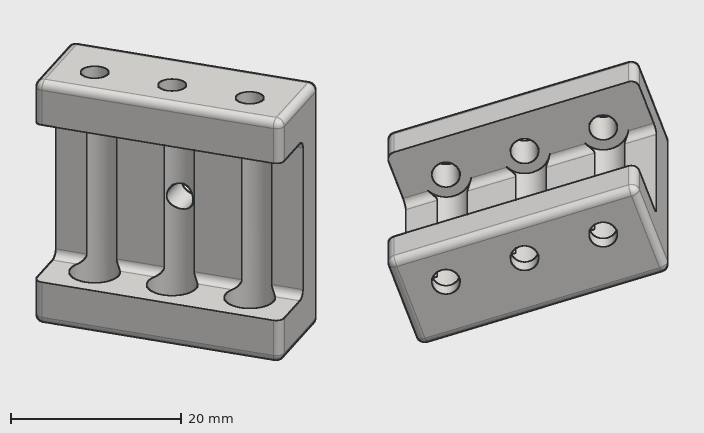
import cadquery as cq

width = 31.15
depth = 12.2
height = 31.5
edge_radius = 1.0

flange_thickness = 5.55
web_thickness = 5.0
channel_corner_radius = 1.0

hole_diameter = 3.3
bore_diameter = 6.0
bore_spacing = 9.75
bore_axis_from_web = 2.33
bore_depth_in_flange = 3.5

channel_height = height - 2 * flange_thickness
channel_depth = depth - web_thickness
web_face_y = depth / 2 - web_thickness
bore_axis_y = web_face_y - bore_axis_from_web


def rounded_block():
    return cq.Workplane("XY").box(width, depth, height).edges().fillet(edge_radius)


def channel():
    """Full-width cutter with rounded edges where the web meets the flanges."""
    cutter = cq.Workplane("XY").box(width, channel_depth, channel_height)
    cutter = cutter.edges("|X and >Y").fillet(channel_corner_radius)
    return cutter.translate((0, web_face_y - channel_depth / 2, 0))


def vertical_cylinder(x, diameter, bottom_z, top_z):
    base = cq.Workplane("XY", origin=(x, bore_axis_y, bottom_z))
    return base.circle(diameter / 2).extrude(top_z - bottom_z)


def web_hole():
    return cq.Workplane("XZ").circle(hole_diameter / 2).extrude(depth, both=True)


result = rounded_block().cut(channel())

bore_top_z = channel_height / 2
bore_floor_z = -channel_height / 2 - bore_depth_in_flange
for x in (-bore_spacing, 0, bore_spacing):
    result = result.cut(vertical_cylinder(x, bore_diameter, bore_floor_z, bore_top_z))
    result = result.cut(vertical_cylinder(x, hole_diameter, -height / 2, height / 2))

result = result.cut(web_hole())